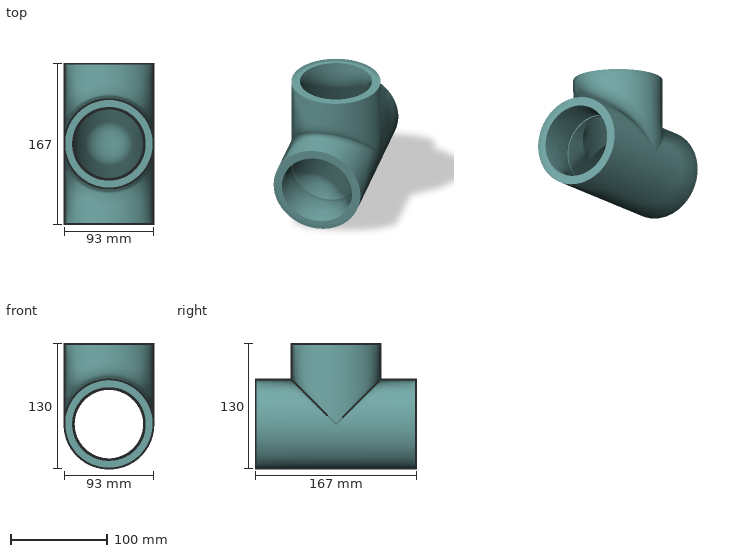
import cadquery as cq

outer_diameter = 93.0
socket_diameter = 75.0
bore_diameter = 73.0
run_length = 167.0
socket_depth = 44.0

center_to_end = run_length / 2
center_to_shoulder = center_to_end - socket_depth


def run_cylinder(diameter, half_length):
    """Cylinder along Y, centred on the origin."""
    return cq.Workplane("XZ").circle(diameter / 2).extrude(half_length, both=True)


def branch_cylinder(diameter, bottom, top):
    """Cylinder along Z between two heights."""
    return cq.Workplane("XY").workplane(offset=bottom).circle(diameter / 2).extrude(top - bottom)


def tee_body():
    """Solid outside of the run and its branch."""
    run = run_cylinder(outer_diameter, center_to_end)
    return run.union(branch_cylinder(outer_diameter, 0, center_to_end))


def flow_passage():
    """Bore joining all three ends."""
    run = run_cylinder(bore_diameter, center_to_end)
    return run.union(branch_cylinder(bore_diameter, 0, center_to_end))


def cut_sockets(body):
    """Widen each end to the socket diameter, leaving a stop shoulder for the pipe."""
    socket = branch_cylinder(socket_diameter, center_to_shoulder, center_to_end)
    for tilt in (-90, 0, 90):
        body = body.cut(socket.rotate((0, 0, 0), (1, 0, 0), tilt))
    return body


result = cut_sockets(tee_body().cut(flow_passage()))